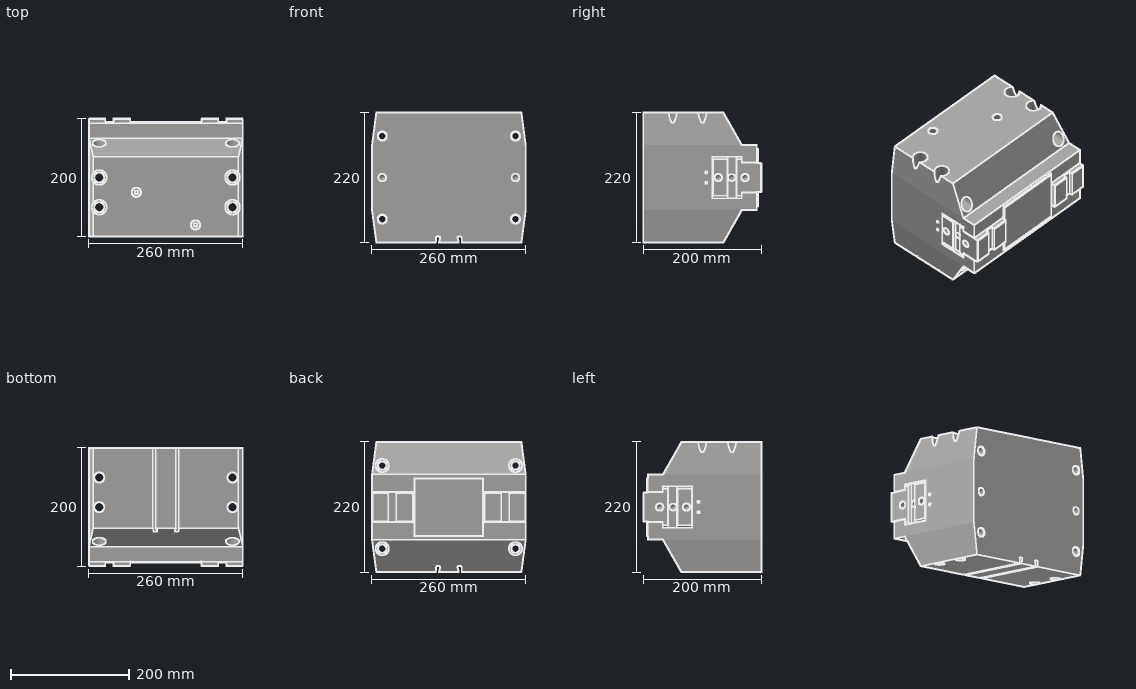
import cadquery as cq
import math

WIDTH = 260.0
HEIGHT = 220.0
HOUSING_DEPTH = 192.1
FLAT_SIDE_HALF_HEIGHT = 55.0
TOP_HALF_WIDTH = 122.7
SHOULDER_Y = 166.7
TAPER_START_Y = 135.5

PLATE_LENGTH = 117.0
PLATE_WIDTH = 98.3
PLATE_TOP_Y = 194.2
PLATE_CHAMFER = 1.0

JAW_TOP_Y = 200.0
JAW_BASE_Y = 117.0
JAW_INNER_X = 59.8
JAW_HALF_WIDTH = 24.7
JAW_SIDE_GAP = 1.0
JAW_BASE_HALF_WIDTH = 34.8
JAW_EDGE_CHAMFER = 1.0
NOTCH_INNER_X = 88.7
NOTCH_OUTER_X = 102.2
GROOVE_LOW_Y = 143.0
GROOVE_HIGH_Y = 157.3
GROOVE_DEPTH = 6.0
LUG_END_CHAMFER = 4.2
JAW_HOLE_MIDDLE_Y = 149.5
JAW_HOLE_PITCH = 22.5
JAW_HOLE_DIAMETER = 12.0
JAW_HOLE_DEPTH = 20.8
JAW_HOLE_CHAMFER = 0.5

MOUNT_X = 112.5
MOUNT_Z = 70.2
MOUNT_DIAMETER = 13.8
MOUNT_CHAMFER = 1.0
MOUNT_BORE_DIAMETER = 22.4
MOUNT_BORE_FLOOR_Y = 130.0
PIN_HOLE_DIAMETER = 13.0
PIN_HOLE_DEPTH = 31.2
BOLT_YS = (50.0, 100.0)
BOLT_DIAMETER = 16.6
BOLT_BORE_DIAMETER = 25.0
BOLT_BORE_FLOOR_Z = 74.0
PORTS = ((-50.0, 75.1), (50.0, 20.0))
PORT_DIAMETER = 15.0
PORT_CHAMFER = 0.5
PORT_DEPTH = 13.0
PORT_FEED_DIAMETER = 6.0
PORT_FEED_DEPTH = 26.0
SIDE_HOLE_Y = 106.5
SIDE_HOLE_Z = 8.8
SIDE_HOLE_DIAMETER = 4.0
SIDE_HOLE_DEPTH = 5.2
DRILL_POINT_ANGLE = 118.0

SENSOR_HEIGHT = 10.5
SENSOR_MOUTH_INNER_X = 17.0
SENSOR_MOUTH_OUTER_X = 21.8
SENSOR_TOP_INNER_X = 14.3
SENSOR_TOP_OUTER_X = 21.3
SENSOR_FILLET = 1.8

half_width = WIDTH / 2
half_height = HEIGHT / 2

X_DIR = cq.Vector(1, 0, 0)
Y_DIR = cq.Vector(0, 1, 0)
Z_DIR = cq.Vector(0, 0, 1)


def box(x_range, y_range, z_range):
    """Box between two limits along each axis."""
    (x0, x1), (y0, y1), (z0, z1) = x_range, y_range, z_range
    return cq.Workplane("XY").box(x1 - x0, y1 - y0, z1 - z0, centered=False).translate((x0, y0, z0))


def cylinder(diameter, length, start, direction):
    return cq.Workplane(obj=cq.Solid.makeCylinder(diameter / 2, length, cq.Vector(*start), direction))


def drilled_hole(diameter, depth, start, direction):
    """Blind hole that ends in a drill point."""
    radius = diameter / 2
    point = radius / math.tan(math.radians(DRILL_POINT_ANGLE / 2))
    tip_start = cq.Vector(*start) + direction * depth
    tip = cq.Solid.makeCone(radius, 0, point, tip_start, direction)
    return cylinder(diameter, depth, start, direction).union(cq.Workplane(obj=tip))


def countersink(diameter, size, start, direction):
    """Cone that chamfers the mouth of a hole."""
    radius = diameter / 2
    return cq.Workplane(obj=cq.Solid.makeCone(radius + size, radius, size, cq.Vector(*start), direction))


def symmetric_outline(workplane, half_outline, mirror_first):
    """Closed outline from one half and its mirror image."""
    sign = (-1, 1) if mirror_first else (1, -1)
    other_half = [(a * sign[0], b * sign[1]) for a, b in reversed(half_outline)]
    return workplane.polyline(half_outline + other_half).close()


def housing_body():
    """Eight-sided block whose top and bottom taper towards the jaw face."""
    end_half = [
        (TOP_HALF_WIDTH, -half_height),
        (half_width, -FLAT_SIDE_HALF_HEIGHT),
        (half_width, FLAT_SIDE_HALF_HEIGHT),
        (TOP_HALF_WIDTH, half_height),
    ]
    block = symmetric_outline(cq.Workplane("XZ"), end_half, True).extrude(-HOUSING_DEPTH)
    side_half = [
        (0, half_height),
        (TAPER_START_Y, half_height),
        (SHOULDER_Y, FLAT_SIDE_HALF_HEIGHT),
        (HOUSING_DEPTH, FLAT_SIDE_HALF_HEIGHT),
    ]
    profile = symmetric_outline(cq.Workplane("YZ"), side_half, False).extrude(half_width, both=True)
    return block.intersect(profile)


def cover_plate():
    plate = box(
        (-PLATE_LENGTH / 2, PLATE_LENGTH / 2),
        (HOUSING_DEPTH, PLATE_TOP_Y),
        (-PLATE_WIDTH / 2, PLATE_WIDTH / 2),
    )
    return plate.faces(">Y").chamfer(PLATE_CHAMFER)


def jaw_space(side):
    """T-shaped space that holds one jaw."""
    x_range = sorted((side * JAW_INNER_X, side * half_width))
    slot_half = JAW_HALF_WIDTH + JAW_SIDE_GAP
    base = box(x_range, (JAW_BASE_Y, SHOULDER_Y), (-JAW_BASE_HALF_WIDTH, JAW_BASE_HALF_WIDTH))
    return base.union(box(x_range, (JAW_BASE_Y, HOUSING_DEPTH), (-slot_half, slot_half)))


def mount_hole(x, z):
    """Through hole along Y, chamfered in front and counterbored behind."""
    hole = cylinder(MOUNT_DIAMETER, HOUSING_DEPTH, (x, 0, z), Y_DIR)
    hole = hole.union(countersink(MOUNT_DIAMETER, MOUNT_CHAMFER, (x, 0, z), Y_DIR))
    bore_length = HOUSING_DEPTH - MOUNT_BORE_FLOOR_Y
    return hole.union(cylinder(MOUNT_BORE_DIAMETER, bore_length, (x, MOUNT_BORE_FLOOR_Y, z), Y_DIR))


def bolt_hole(x, y):
    """Through hole along Z with a deep counterbore from the top."""
    hole = cylinder(BOLT_DIAMETER, HEIGHT, (x, y, -half_height), Z_DIR)
    bore_length = half_height - BOLT_BORE_FLOOR_Z
    return hole.union(cylinder(BOLT_BORE_DIAMETER, bore_length, (x, y, BOLT_BORE_FLOOR_Z), Z_DIR))


def port(x, y):
    """Flat-bottomed port in the top with a narrow feed hole below it."""
    start = (x, y, half_height)
    hole = cylinder(PORT_DIAMETER, PORT_DEPTH, start, -Z_DIR)
    hole = hole.union(countersink(PORT_DIAMETER, PORT_CHAMFER, start, -Z_DIR))
    return hole.union(drilled_hole(PORT_FEED_DIAMETER, PORT_FEED_DEPTH, start, -Z_DIR))


def sensor_groove(side):
    """Groove along Y with a rounded top, open at the bottom of the housing."""
    top_z = SENSOR_HEIGHT - half_height
    outline = [
        (side * SENSOR_MOUTH_INNER_X, -half_height),
        (side * SENSOR_MOUTH_OUTER_X, -half_height),
        (side * SENSOR_TOP_OUTER_X, top_z),
        (side * SENSOR_TOP_INNER_X, top_z),
    ]
    groove = cq.Workplane("XZ").polyline(outline).close().extrude(-HOUSING_DEPTH)
    return groove.faces(">Z").edges("|Y").fillet(SENSOR_FILLET)


def make_housing():
    housing = housing_body().union(cover_plate())
    for side in (-1, 1):
        x = side * MOUNT_X
        housing = housing.cut(jaw_space(side))
        housing = housing.cut(sensor_groove(side))
        housing = housing.cut(drilled_hole(PIN_HOLE_DIAMETER, PIN_HOLE_DEPTH, (x, 0, 0), Y_DIR))
        for z in (-MOUNT_Z, MOUNT_Z):
            housing = housing.cut(mount_hole(x, z))
        for y in BOLT_YS:
            housing = housing.cut(bolt_hole(x, y))
        for z in (-SIDE_HOLE_Z, SIDE_HOLE_Z):
            start = (side * half_width, SIDE_HOLE_Y, z)
            housing = housing.cut(drilled_hole(SIDE_HOLE_DIAMETER, SIDE_HOLE_DEPTH, start, X_DIR * -side))
    for x, y in PORTS:
        housing = housing.cut(port(x, y))
    return housing


def jaw_lug(y_low, y_high):
    """Raised end of the jaw foot, sloped at its top and bottom ends."""
    lug = box(
        (JAW_INNER_X, half_width),
        (y_low, y_high),
        (-JAW_BASE_HALF_WIDTH, JAW_BASE_HALF_WIDTH),
    )
    return lug.faces(">X").edges("|Y").chamfer(LUG_END_CHAMFER)


def jaw_foot():
    """Wide foot of the jaw: two lugs with a groove between them, their free edges chamfered."""
    floor = box(
        (JAW_INNER_X, half_width - GROOVE_DEPTH),
        (JAW_BASE_Y, SHOULDER_Y),
        (-JAW_BASE_HALF_WIDTH, JAW_BASE_HALF_WIDTH),
    )
    front_lug = jaw_lug(JAW_BASE_Y, GROOVE_LOW_Y)
    front_lug = front_lug.faces(">X").edges("|Z").chamfer(JAW_EDGE_CHAMFER)
    rear_lug = jaw_lug(GROOVE_HIGH_Y, SHOULDER_Y)
    rear_lug = rear_lug.faces(">X").edges("<Y").chamfer(JAW_EDGE_CHAMFER)
    return floor.union(front_lug).union(rear_lug)


def make_jaw(side):
    """T-shaped jaw, modelled on the +X side and mirrored for the other."""
    head = box(
        (JAW_INNER_X, half_width),
        (SHOULDER_Y, JAW_TOP_Y),
        (-JAW_HALF_WIDTH, JAW_HALF_WIDTH),
    )
    head = head.faces(">Y").chamfer(JAW_EDGE_CHAMFER)
    notch = box(
        (NOTCH_INNER_X, NOTCH_OUTER_X),
        (PLATE_TOP_Y, JAW_TOP_Y),
        (-JAW_HALF_WIDTH, JAW_HALF_WIDTH),
    )
    jaw = jaw_foot().union(head).cut(notch)
    for step in (-1, 0, 1):
        start = (half_width, JAW_HOLE_MIDDLE_Y + step * JAW_HOLE_PITCH, 0)
        jaw = jaw.cut(drilled_hole(JAW_HOLE_DIAMETER, JAW_HOLE_DEPTH, start, -X_DIR))
        jaw = jaw.cut(countersink(JAW_HOLE_DIAMETER, JAW_HOLE_CHAMFER, start, -X_DIR))
    return jaw if side > 0 else jaw.mirror("YZ")


housing = make_housing()
jaws = [make_jaw(side) for side in (-1, 1)]

result = cq.Compound.makeCompound([housing.val(), *[jaw.val() for jaw in jaws]])